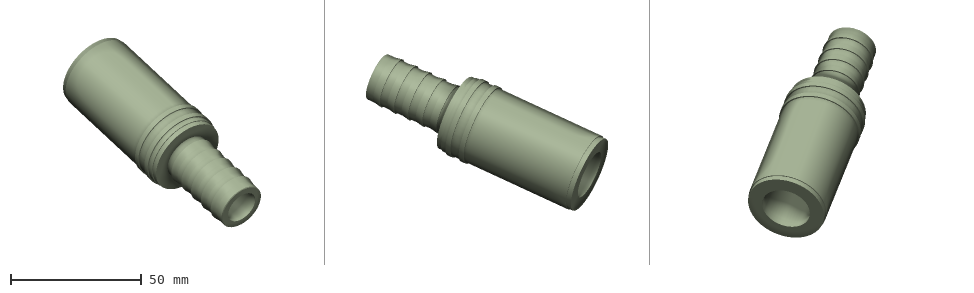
import cadquery as cq

total_length = 92.0
sleeve_length = 58.05
end_step_length = 2.0
band_width = 2.0
band_starts = (46.1, 51.9)
socket_depth = band_starts[0]
tip_chamfer = 0.3

band_radius = 16.0
sleeve_radius = 15.5
end_step_radius = 15.1
stem_radius = 9.5
barb_height = 0.55
socket_radius = stem_radius
bore_radius = 6.5

barb_count = 5
segment_length = (total_length - tip_chamfer - sleeve_length) / (2 * barb_count + 1)


def cylinder(start, length, radius):
    """Solid cylinder along +X, beginning at the given X."""
    return cq.Workplane("YZ", origin=(start, 0, 0)).circle(radius).extrude(length)


def make_sleeve():
    """Large sleeve with a small step at each end and two raised bands."""
    main_length = sleeve_length - 2 * end_step_length
    sleeve = cylinder(0, sleeve_length, end_step_radius)
    sleeve = sleeve.union(cylinder(end_step_length, main_length, sleeve_radius))
    for start in band_starts:
        sleeve = sleeve.union(cylinder(start, band_width, band_radius))
    return sleeve


def make_barb(start):
    """Barb that rises abruptly at its start and tapers down to the stem toward +X."""
    profile = (
        cq.Workplane("XY")
        .moveTo(start, 0)
        .lineTo(start, stem_radius + barb_height)
        .lineTo(start + segment_length, stem_radius)
        .lineTo(start + segment_length, 0)
        .close()
    )
    return profile.revolve(360, (0, 0, 0), (1, 0, 0))


def make_stem():
    """Barbed hose stem with a chamfered tip."""
    stem = cylinder(0, total_length, stem_radius).faces(">X").edges().chamfer(tip_chamfer)
    for index in range(barb_count):
        stem = stem.union(make_barb(sleeve_length + (2 * index + 1) * segment_length))
    return stem


body = make_sleeve().union(make_stem())

through_bore = cylinder(0, total_length, bore_radius)
socket = cylinder(0, socket_depth, socket_radius)
result = body.cut(through_bore).cut(socket)